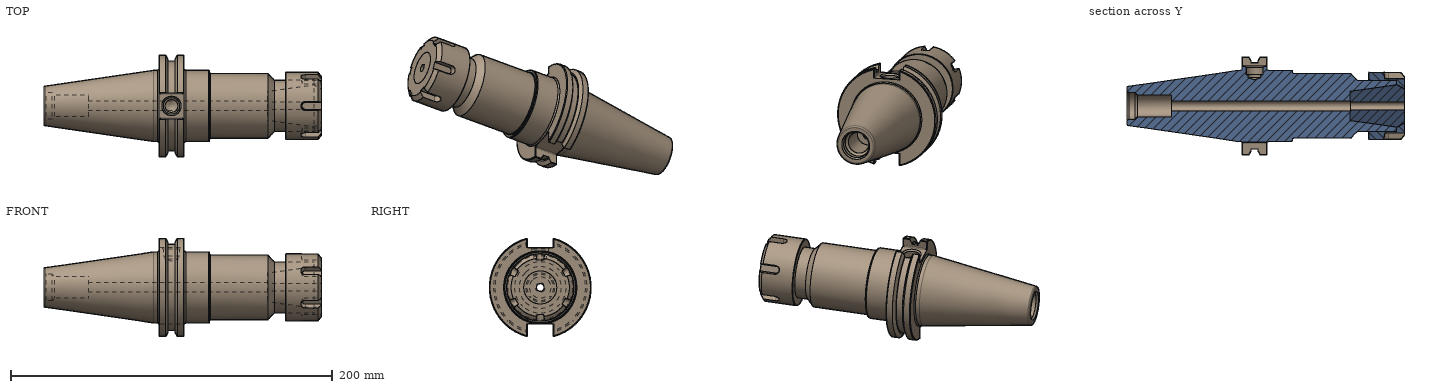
import cadquery as cq
import math

TOTAL_LENGTH = 172.9
GAUGE_X = 68.3
FLANGE_X = 71.5
FLANGE_LENGTH = 15.7
FLANGE_END_X = FLANGE_X + FLANGE_LENGTH
FLANGE_MID_X = FLANGE_X + FLANGE_LENGTH / 2
SHOULDER_END_X = 103.2
BODY_END_X = 139.4
NECK_X = 143.5
NUT_X = 150.5
NUT_LIP_X = 168.0

GAUGE_DIAMETER = 44.5
TAPER_RATIO = 7 / 24
REAR_DIAMETER = GAUGE_DIAMETER - TAPER_RATIO * GAUGE_X
REAR_FILLET = 1.0
COLLAR_END_X = 70.7

BORE_MOUTH_DIAMETER = 18.0
BORE_MOUTH_ANGLE = 30.0
BORE_DIAMETER = 16.5
BORE_LENGTH = 5.2
THREAD_DIAMETER = 13.3
THREAD_END_X = 27.7
COOLANT_DIAMETER = 5.9

FLANGE_DIAMETER = 63.5
FLANGE_CHAMFER = 0.5
ROOT_DIAMETER = 45.6
ROOT_LENGTH = 1.0
GROOVE_DIAMETER = 56.2
GROOVE_FLOOR_WIDTH = 4.1
GROOVE_MOUTH_WIDTH = 7.3
GROOVE_FLANK_ANGLE = 30.0
GROOVE_FLANK_WIDTH = (GROOVE_MOUTH_WIDTH - GROOVE_FLOOR_WIDTH) / 2
GROOVE_FLANK_HEIGHT = GROOVE_FLANK_WIDTH / math.tan(math.radians(GROOVE_FLANK_ANGLE))
GROOVE_SHOULDER_DIAMETER = FLANGE_DIAMETER - 2 * GROOVE_FLANK_HEIGHT
SLOT_WIDTH = 16.0
SLOT_CHAMFER = 0.5
SLOT_FILLET = 0.5
TOP_SLOT_FLOOR = 24.7
BOTTOM_SLOT_FLOOR = 22.7

HOLE_MOUTH_DIAMETER = 12.1
HOLE_DIAMETER = 10.2
HOLE_DEPTH = 5.2
PILOT_DIAMETER = 8.0
PILOT_DEPTH = 7.0
PILOT_TIP_ANGLE = 140.0

SHOULDER_DIAMETER = 44.5
SHOULDER_CHAMFER_LENGTH = 0.7
SHOULDER_FACE_DIAMETER = 44.0
BODY_FLARE = 0.5
BODY_DIAMETER = 40.5
NECK_DIAMETER = 32.0

NUT_DIAMETER = 42.0
NUT_REAR_CHAMFER = 0.3
NUT_CHAMFER_LENGTH = 2.2
NUT_FACE_DIAMETER = 36.3
NUT_SLOT_COUNT = 6
NUT_SLOT_WIDTH = 4.1
NUT_SLOT_DRAFT = 10.0
NUT_SLOT_FLOOR = 17.0
NUT_SLOT_X = 160.6

COLLET_DIAMETER = 26.1
COLLET_REAR_DIAMETER = 18.0
COLLET_FACE_DIAMETER = 20.5
COLLET_TAPER_ANGLE = 8.0
COLLET_BORE_DIAMETER = 4.7
COLLET_TAPER_RISE = (COLLET_DIAMETER - COLLET_REAR_DIAMETER) / 2
COLLET_TAPER_LENGTH = COLLET_TAPER_RISE / math.tan(math.radians(COLLET_TAPER_ANGLE))
COLLET_X = NUT_LIP_X - COLLET_TAPER_LENGTH


def turned(stations):
    """Revolve (x, diameter) stations about the X axis into a solid closed along the axis."""
    outline = [(stations[0][0], 0)]
    outline += [(x, diameter / 2) for x, diameter in stations]
    outline += [(stations[-1][0], 0)]
    return cq.Workplane("XY").polyline(outline).close().revolve(360, (0, 0, 0), (1, 0, 0))


def holder_blank():
    taper = turned([
        (0, REAR_DIAMETER),
        (GAUGE_X, GAUGE_DIAMETER),
        (COLLAR_END_X, GAUGE_DIAMETER),
        (FLANGE_X, ROOT_DIAMETER),
    ]).faces("<X").edges().fillet(REAR_FILLET)
    shank = turned([
        (FLANGE_END_X, ROOT_DIAMETER),
        (FLANGE_END_X + ROOT_LENGTH, SHOULDER_DIAMETER),
        (SHOULDER_END_X - SHOULDER_CHAMFER_LENGTH, SHOULDER_DIAMETER),
        (SHOULDER_END_X, SHOULDER_FACE_DIAMETER),
        (SHOULDER_END_X, BODY_DIAMETER + 2 * BODY_FLARE),
        (SHOULDER_END_X + BODY_FLARE, BODY_DIAMETER),
        (BODY_END_X, BODY_DIAMETER),
        (NECK_X, NECK_DIAMETER),
        (NUT_LIP_X, NECK_DIAMETER),
    ])
    return taper.union(flange()).union(shank)


def drive_slot(floor):
    """Slot across the flange, open towards +Z, with flared ends and a flared mouth."""
    half_length = FLANGE_LENGTH / 2
    half_width = SLOT_WIDTH / 2
    height = FLANGE_DIAMETER / 2 - floor
    rim_corner = math.sqrt((FLANGE_DIAMETER / 2) ** 2 - half_width**2)
    flare_start = rim_corner - SLOT_CHAMFER
    flare = FLANGE_DIAMETER / 2 - flare_start
    passage = (
        cq.Workplane("XY", origin=(FLANGE_MID_X, 0, floor))
        .moveTo(-half_length, half_width + SLOT_CHAMFER)
        .lineTo(-half_length + SLOT_CHAMFER, half_width)
        .lineTo(half_length - SLOT_CHAMFER, half_width)
        .lineTo(half_length, half_width + SLOT_CHAMFER)
        .lineTo(half_length, 0)
        .lineTo(-half_length, 0)
        .close()
        .extrude(height)
        .faces("<Z").edges("|X").edges(">Y").fillet(SLOT_FILLET)
    )
    mouth = (
        cq.Workplane("YZ", origin=(FLANGE_X, 0, 0))
        .moveTo(0, flare_start)
        .lineTo(half_width, flare_start)
        .lineTo(half_width + flare, flare_start + flare)
        .lineTo(0, flare_start + flare)
        .close()
        .extrude(FLANGE_LENGTH)
    )
    half_slot = passage.union(mouth)
    return half_slot.union(half_slot.mirror("XZ"))


def gripper_groove():
    """Ring cut out of the rim: slanted flanks at the mouth, then straight walls down to the floor."""
    outline = [
        (FLANGE_MID_X - GROOVE_FLOOR_WIDTH / 2, GROOVE_DIAMETER / 2),
        (FLANGE_MID_X - GROOVE_FLOOR_WIDTH / 2, GROOVE_SHOULDER_DIAMETER / 2),
        (FLANGE_MID_X - GROOVE_MOUTH_WIDTH / 2, FLANGE_DIAMETER / 2),
        (FLANGE_MID_X + GROOVE_MOUTH_WIDTH / 2, FLANGE_DIAMETER / 2),
        (FLANGE_MID_X + GROOVE_FLOOR_WIDTH / 2, GROOVE_SHOULDER_DIAMETER / 2),
        (FLANGE_MID_X + GROOVE_FLOOR_WIDTH / 2, GROOVE_DIAMETER / 2),
    ]
    return cq.Workplane("XY").polyline(outline).close().revolve(360, (0, 0, 0), (1, 0, 0))


def flange():
    disc = turned([(FLANGE_X, FLANGE_DIAMETER), (FLANGE_END_X, FLANGE_DIAMETER)])
    disc = disc.edges("%CIRCLE").chamfer(FLANGE_CHAMFER)
    disc = disc.cut(drive_slot(TOP_SLOT_FLOOR)).cut(drive_slot(BOTTOM_SLOT_FLOOR).mirror("XY"))
    return disc.cut(gripper_groove())


def rear_bore():
    """Stepped bore from the small end, running on as a narrow passage to the collet seat."""
    mouth_rise = (BORE_MOUTH_DIAMETER - BORE_DIAMETER) / 2
    mouth_depth = mouth_rise / math.tan(math.radians(BORE_MOUTH_ANGLE))
    step_depth = (BORE_DIAMETER - THREAD_DIAMETER) / 2
    return turned([
        (0, BORE_MOUTH_DIAMETER),
        (mouth_depth, BORE_DIAMETER),
        (BORE_LENGTH, BORE_DIAMETER),
        (BORE_LENGTH + step_depth, THREAD_DIAMETER),
        (THREAD_END_X, THREAD_DIAMETER),
        (THREAD_END_X, COOLANT_DIAMETER),
        (COLLET_X, COOLANT_DIAMETER),
    ])


def slot_hole():
    """Stepped blind hole, sunk along -Z from the floor of the top slot."""
    mouth_depth = (HOLE_MOUTH_DIAMETER - HOLE_DIAMETER) / 2
    tip_depth = PILOT_DIAMETER / 2 / math.tan(math.radians(PILOT_TIP_ANGLE / 2))
    profile = [
        (0, 0),
        (HOLE_MOUTH_DIAMETER / 2, 0),
        (HOLE_DIAMETER / 2, -mouth_depth),
        (HOLE_DIAMETER / 2, -HOLE_DEPTH),
        (PILOT_DIAMETER / 2, -HOLE_DEPTH),
        (PILOT_DIAMETER / 2, -PILOT_DEPTH),
        (0, -PILOT_DEPTH - tip_depth),
    ]
    hole = cq.Workplane("XZ").polyline(profile).close().revolve(360, (0, 0, 0), (0, 1, 0))
    return hole.translate((FLANGE_MID_X, 0, TOP_SLOT_FLOOR))


def collet_envelope():
    """Outer shape of the collet, which is also the seat cut for it in the holder and the nut."""
    return turned([
        (COLLET_X, COLLET_REAR_DIAMETER),
        (NUT_LIP_X, COLLET_DIAMETER),
        (TOTAL_LENGTH, COLLET_FACE_DIAMETER),
    ])


def make_holder():
    return holder_blank().cut(rear_bore()).cut(slot_hole()).cut(collet_envelope())


def nut_slot():
    """Round-ended wrench slot at the top of the nut, running out through its front face."""
    radius = NUT_SLOT_WIDTH / 2
    height = NUT_DIAMETER / 2 - NUT_SLOT_FLOOR
    start = NUT_SLOT_X + radius
    return (
        cq.Workplane("XY", origin=(0, 0, NUT_SLOT_FLOOR))
        .moveTo(TOTAL_LENGTH, radius)
        .lineTo(start, radius)
        .threePointArc((NUT_SLOT_X, 0), (start, -radius))
        .lineTo(TOTAL_LENGTH, -radius)
        .close()
        .extrude(height, taper=-NUT_SLOT_DRAFT)
    )


def make_nut():
    nut = turned([
        (NUT_X, NUT_DIAMETER - 2 * NUT_REAR_CHAMFER),
        (NUT_X + NUT_REAR_CHAMFER, NUT_DIAMETER),
        (TOTAL_LENGTH - NUT_CHAMFER_LENGTH, NUT_DIAMETER),
        (TOTAL_LENGTH, NUT_FACE_DIAMETER),
    ])
    nut = nut.cut(turned([(NUT_X, NECK_DIAMETER), (NUT_LIP_X, NECK_DIAMETER)]))
    nut = nut.cut(collet_envelope())
    for i in range(NUT_SLOT_COUNT):
        nut = nut.cut(nut_slot().rotate((0, 0, 0), (1, 0, 0), i * 360 / NUT_SLOT_COUNT))
    return nut


def make_collet():
    bore = turned([(COLLET_X, COLLET_BORE_DIAMETER), (TOTAL_LENGTH, COLLET_BORE_DIAMETER)])
    return collet_envelope().cut(bore)


holder = make_holder()
nut = make_nut()
collet = make_collet()

result = cq.Compound.makeCompound([holder.val(), nut.val(), collet.val()])